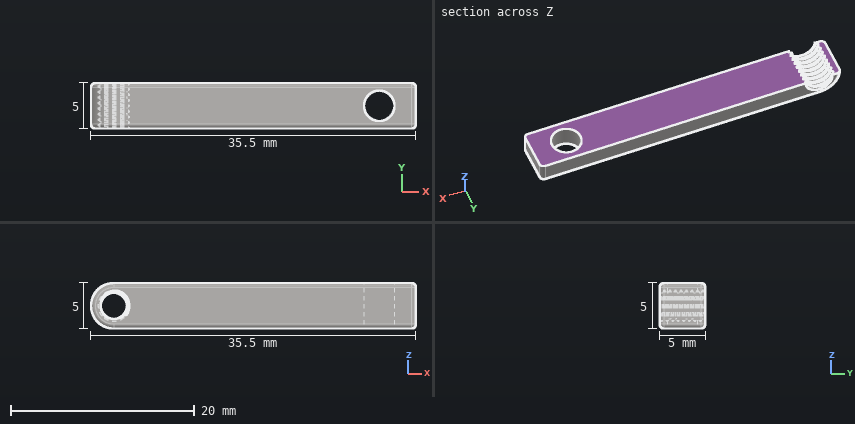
import cadquery as cq

length = 35.5
width = 5.0
edge_radius = 0.5
nose_radius = width / 2
nose_center_x = nose_radius - length / 2

plain_hole_diameter = 3.3
plain_hole_end_distance = 4.0
plain_hole_x = length / 2 - plain_hole_end_distance

thread_pitch = 0.6
minor_diameter = 2.85
major_diameter = 3.4
root_width = thread_pitch / 8
mouth_width = thread_pitch * 3 / 4
mouth_overlap = 0.07
thread_turns = 11
thread_start_angle = -50


def make_bar():
    half_length = length / 2
    half_width = width / 2
    bar = (
        cq.Workplane("XZ", origin=(0, width / 2, 0))
        .moveTo(nose_center_x, half_width)
        .lineTo(half_length, half_width)
        .lineTo(half_length, -half_width)
        .lineTo(nose_center_x, -half_width)
        .threePointArc((-half_length, 0), (nose_center_x, half_width))
        .close()
        .extrude(width)
    )
    return bar.edges("<Y or >Y or >X").fillet(edge_radius)


def make_plain_hole():
    return cq.Workplane("XY", origin=(plain_hole_x, 0, -width / 2)).circle(plain_hole_diameter / 2).extrude(width)


def make_bore():
    return cq.Workplane("XZ", origin=(nose_center_x, width / 2, 0)).circle(minor_diameter / 2).extrude(width)


def make_thread_groove():
    minor_radius = minor_diameter / 2
    major_radius = major_diameter / 2
    inner_radius = minor_radius - mouth_overlap
    flank_slope = (mouth_width - root_width) / (major_radius - minor_radius)
    inner_width = mouth_width + flank_slope * mouth_overlap
    helix = cq.Wire.makeHelix(thread_pitch, thread_turns * thread_pitch, minor_radius)
    groove = (
        cq.Workplane("XZ")
        .polyline([
            (inner_radius, -inner_width / 2),
            (major_radius, -root_width / 2),
            (major_radius, root_width / 2),
            (inner_radius, inner_width / 2),
        ])
        .close()
        .sweep(cq.Workplane(helix), isFrenet=True)
    )
    return (
        groove.rotate((0, 0, 0), (0, 0, 1), thread_start_angle)
        .rotate((0, 0, 0), (1, 0, 0), -90)
        .translate((nose_center_x, -width / 2 - thread_pitch, 0))
    )


result = make_bar().cut(make_plain_hole()).cut(make_bore()).cut(make_thread_groove())